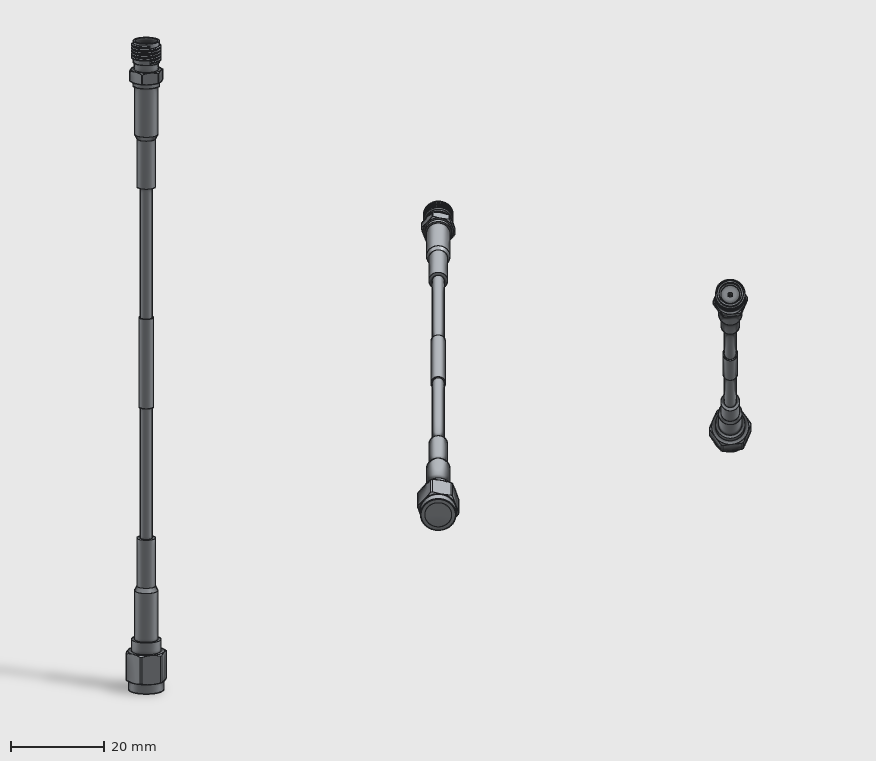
import cadquery as cq
import math

TOTAL_LENGTH = 144.8

BOOT_WIDE_DIAMETER = 5.0
BOOT_NARROW_DIAMETER = 4.0
BOOT_WIDE_LENGTH = 7.5
BOOT_TAPER_LENGTH = 0.7
BOOT_LENGTH = 15.6

THREAD_DIAMETER = 6.4
THREAD_ROOT_DIAMETER = 5.6
THREAD_PITCH = 0.71
THREAD_TURNS = 5
THREAD_LENGTH = 4.8
RIDGE_BASE_WIDTH = 0.6
RIDGE_CREST_WIDTH = 0.1
RIDGE_ROOT_OVERLAP = 0.07
JACK_NECK_DIAMETER = 5.2
JACK_NECK_LENGTH = 1.6
JACK_HEX_ACROSS_FLATS = 6.5
JACK_HEX_CORNERS = 7.4
JACK_HEX_LENGTH = 2.6
JACK_COLLAR_DIAMETER = 5.8
JACK_COLLAR_LENGTH = 1.0
MOUTH_DIAMETER = 4.8
MOUTH_DEPTH = 1.2
JACK_BORE_DIAMETER = 4.0
JACK_BORE_DEPTH = 1.5
CONTACT_BORE_DIAMETER = 1.0
CONTACT_BORE_DEPTH = 2.9

PLUG_COLLAR_DIAMETER = 6.4
PLUG_COLLAR_LENGTH = 2.6
PLUG_SPIGOT_DIAMETER = 5.8
NUT_HEX_ACROSS_FLATS = 8.0
NUT_HEX_CORNERS = 9.0
NUT_HEX_LENGTH = 6.5
NUT_RIM_DIAMETER = 7.7
NUT_RIM_LENGTH = 2.2
NUT_RIM_CHAMFER = 0.1

CABLE_DIAMETER = 2.6
LABEL_DIAMETER = 3.2
LABEL_LENGTH = 20.0

HEX_CHAMFER_ANGLE = math.radians(30)

NUT_TOP = NUT_RIM_LENGTH + NUT_HEX_LENGTH
CABLE_BOTTOM = NUT_TOP + PLUG_COLLAR_LENGTH
THREAD_BOTTOM = TOTAL_LENGTH - THREAD_LENGTH
JACK_HEX_TOP = THREAD_BOTTOM - JACK_NECK_LENGTH
JACK_HEX_BOTTOM = JACK_HEX_TOP - JACK_HEX_LENGTH
CABLE_TOP = JACK_HEX_BOTTOM - JACK_COLLAR_LENGTH
CABLE_MIDDLE = (CABLE_BOTTOM + CABLE_TOP) / 2


def cylinder(diameter, bottom, top):
    """Cylinder on the Z axis between two heights."""
    return cq.Workplane("XY").workplane(offset=bottom).circle(diameter / 2).extrude(top - bottom)


def chamfered_hexagon(across_flats, corner_diameter, bottom, top):
    """Hexagon with flats facing +X and -X, its corners turned down to a cylinder and coned at both ends."""
    hexagon = (
        cq.Workplane("XY")
        .workplane(offset=bottom)
        .polygon(6, across_flats / math.cos(math.pi / 6))
        .extrude(top - bottom)
        .rotate((0, 0, 0), (0, 0, 1), 90)
    )
    chamfer_width = (corner_diameter - across_flats) / 2
    envelope = (
        cylinder(corner_diameter, bottom, top)
        .faces("<Z or >Z")
        .chamfer(chamfer_width * math.tan(HEX_CHAMFER_ANGLE), chamfer_width)
    )
    return hexagon.intersect(envelope)


def thread_ridge():
    """Helical ridge centred along the threaded length, its base sunk a little into the root cylinder."""
    rise = THREAD_TURNS * THREAD_PITCH
    bottom = THREAD_BOTTOM + (THREAD_LENGTH - rise) / 2
    base_radius = THREAD_ROOT_DIAMETER / 2 - RIDGE_ROOT_OVERLAP
    crest_radius = THREAD_DIAMETER / 2
    helix = cq.Wire.makeHelix(THREAD_PITCH, rise, base_radius, center=cq.Vector(0, 0, bottom))
    profile = cq.Workplane("XZ").polyline([
        (base_radius, bottom - RIDGE_BASE_WIDTH / 2),
        (crest_radius, bottom - RIDGE_CREST_WIDTH / 2),
        (crest_radius, bottom + RIDGE_CREST_WIDTH / 2),
        (base_radius, bottom + RIDGE_BASE_WIDTH / 2),
    ]).close()
    return profile.sweep(cq.Workplane(helix), isFrenet=True)


def threaded_end():
    """Open threaded end of the jack, with a stepped bore and a contact hole in the bore floor."""
    bore_floor = TOTAL_LENGTH - JACK_BORE_DEPTH
    return (
        cylinder(THREAD_ROOT_DIAMETER, THREAD_BOTTOM, TOTAL_LENGTH)
        .cut(cylinder(JACK_BORE_DIAMETER, bore_floor, TOTAL_LENGTH))
        .cut(cylinder(MOUTH_DIAMETER, TOTAL_LENGTH - MOUTH_DEPTH, TOTAL_LENGTH))
        .cut(cylinder(CONTACT_BORE_DIAMETER, bore_floor - CONTACT_BORE_DEPTH, bore_floor))
        .union(thread_ridge())
    )


def make_jack():
    """Jack: a collar over the boot, a hexagon, a neck and the threaded end."""
    hexagon = chamfered_hexagon(JACK_HEX_ACROSS_FLATS, JACK_HEX_CORNERS, JACK_HEX_BOTTOM, JACK_HEX_TOP)
    return (
        cylinder(JACK_COLLAR_DIAMETER, CABLE_TOP, JACK_HEX_BOTTOM)
        .union(hexagon)
        .union(cylinder(JACK_NECK_DIAMETER, JACK_HEX_TOP, THREAD_BOTTOM))
        .union(threaded_end())
    )


def make_plug():
    """Plug body: a collar under the boot and a spigot that fills the nut."""
    collar = cylinder(PLUG_COLLAR_DIAMETER, NUT_TOP, CABLE_BOTTOM)
    return collar.union(cylinder(PLUG_SPIGOT_DIAMETER, 0, NUT_TOP))


def make_nut():
    """Coupling nut: a hexagon above a round rim, bored to fit the plug spigot."""
    rim = cylinder(NUT_RIM_DIAMETER, 0, NUT_RIM_LENGTH).faces("<Z").chamfer(NUT_RIM_CHAMFER)
    hexagon = chamfered_hexagon(NUT_HEX_ACROSS_FLATS, NUT_HEX_CORNERS, NUT_RIM_LENGTH, NUT_TOP)
    return rim.union(hexagon).cut(cylinder(PLUG_SPIGOT_DIAMETER, 0, NUT_TOP))


def make_boot(wide_end, direction):
    """Stepped sleeve on the cable, narrowing from its wide end in the direction +1 (up) or -1 (down)."""
    taper_start = wide_end + direction * BOOT_WIDE_LENGTH
    taper_end = taper_start + direction * BOOT_TAPER_LENGTH
    narrow_end = wide_end + direction * BOOT_LENGTH
    return (
        cq.Workplane("XZ")
        .moveTo(CABLE_DIAMETER / 2, wide_end)
        .lineTo(BOOT_WIDE_DIAMETER / 2, wide_end)
        .lineTo(BOOT_WIDE_DIAMETER / 2, taper_start)
        .lineTo(BOOT_NARROW_DIAMETER / 2, taper_end)
        .lineTo(BOOT_NARROW_DIAMETER / 2, narrow_end)
        .lineTo(CABLE_DIAMETER / 2, narrow_end)
        .close()
        .revolve(360, (0, 0, 0), (0, 1, 0))
    )


def make_label():
    """Sleeve around the middle of the cable."""
    bottom = CABLE_MIDDLE - LABEL_LENGTH / 2
    top = CABLE_MIDDLE + LABEL_LENGTH / 2
    return cylinder(LABEL_DIAMETER, bottom, top).cut(cylinder(CABLE_DIAMETER, bottom, top))


cable = cylinder(CABLE_DIAMETER, CABLE_BOTTOM, CABLE_TOP)
label = make_label()
jack = make_jack()
plug = make_plug()
nut = make_nut()
boots = [make_boot(wide_end, direction) for wide_end, direction in ((CABLE_BOTTOM, 1.5), (CABLE_TOP, -1.5))]

result = cq.Compound.makeCompound([
    cable.val(),
    label.val(),
    jack.val(),
    plug.val(),
    nut.val(),
    *[boot.val() for boot in boots],
])